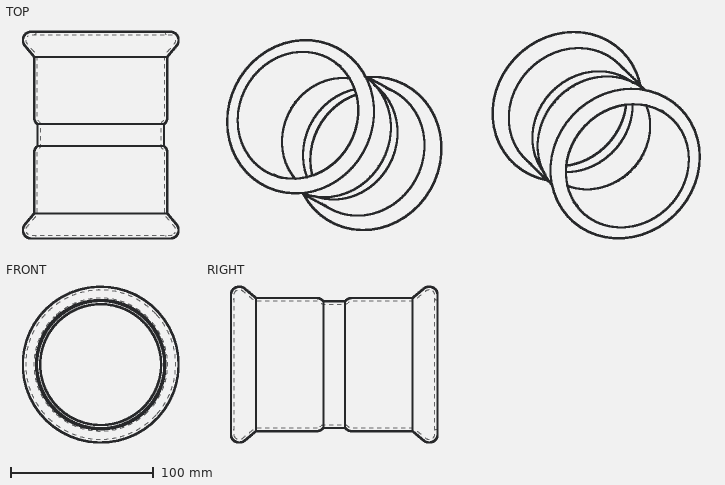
import cadquery as cq
import math

length = 145.0
wall = 2.2
rim_outer_radius = 54.68
bead_radius = 6.0
bead_taper = math.radians(40)
socket_outer_radius = 46.75
waist_outer_radius = 44.5
waist_half_length = 7.7
shoulder_half_length = 12.4
lip_radius = 45.4
lip_front_rounding = 0.3
lip_back_rounding = 1.0
socket_entry_radius = 1.7
stop_bend_end_radius = 43.2

half_length = length / 2
socket_bore_radius = socket_outer_radius - wall
waist_bore_radius = waist_outer_radius - wall
bead_centre_radius = rim_outer_radius - bead_radius
bead_centre_y = half_length - bead_radius
inner_bead_radius = bead_radius - wall
shoulder_drop = socket_outer_radius - waist_outer_radius
shoulder_run = shoulder_half_length - waist_half_length
shoulder_radius = (shoulder_run**2 + shoulder_drop**2) / (2 * shoulder_drop)
shoulder_sweep = math.asin(shoulder_run / shoulder_radius)
inner_shoulder_radius = shoulder_radius - wall


def arc_point(centre, radius, angle):
    """Point (radius from the axis, y) on an arc; angles run from outward toward the +Y mouth."""
    return centre[0] + radius * math.cos(angle), centre[1] + radius * math.sin(angle)


def cone_foot(cone_start, foot_radius):
    """Point where a bead cone comes down to the given radius."""
    start_radius, start_y = cone_start
    return foot_radius, start_y - (start_radius - foot_radius) / math.tan(bead_taper)


bead_centre = (bead_centre_radius, bead_centre_y)
bead_face_angle = math.pi / 2
bead_middle_angle = (bead_face_angle - bead_taper) / 2
shoulder_centre = (socket_outer_radius - shoulder_radius, shoulder_half_length)


def outer_profile():
    """Outer half outline from the end of the waist to the mouth edge."""
    cone_start = arc_point(bead_centre, bead_radius, -bead_taper)
    return (
        cq.Workplane("XY")
        .moveTo(waist_outer_radius, waist_half_length)
        .threePointArc(
            arc_point(shoulder_centre, shoulder_radius, -shoulder_sweep / 2),
            (socket_outer_radius, shoulder_half_length),
        )
        .lineTo(*cone_foot(cone_start, socket_outer_radius))
        .lineTo(*cone_start)
        .threePointArc(
            arc_point(bead_centre, bead_radius, bead_middle_angle),
            arc_point(bead_centre, bead_radius, bead_face_angle),
        )
        .lineTo(lip_radius + lip_front_rounding, half_length)
    )


def add_bead_groove(profile):
    """Mouth lip and seal groove inside the bead, from the mouth edge to the start of the socket bore."""
    lip_front_centre = (lip_radius + lip_front_rounding, half_length - lip_front_rounding)
    lip_back_centre = (lip_radius + lip_back_rounding, half_length - wall + lip_back_rounding)
    cone_start = arc_point(bead_centre, inner_bead_radius, -bead_taper)
    corner_y = cone_foot(cone_start, socket_bore_radius)[1]
    entry_centre = (
        socket_bore_radius + socket_entry_radius,
        corner_y - socket_entry_radius * math.tan(bead_taper / 2),
    )
    return (
        profile.threePointArc(
            arc_point(lip_front_centre, lip_front_rounding, math.pi * 3 / 4),
            arc_point(lip_front_centre, lip_front_rounding, math.pi),
        )
        .lineTo(*arc_point(lip_back_centre, lip_back_rounding, math.pi))
        .threePointArc(
            arc_point(lip_back_centre, lip_back_rounding, math.pi * 5 / 4),
            arc_point(lip_back_centre, lip_back_rounding, math.pi * 3 / 2),
        )
        .lineTo(*arc_point(bead_centre, inner_bead_radius, bead_face_angle))
        .threePointArc(
            arc_point(bead_centre, inner_bead_radius, bead_middle_angle),
            cone_start,
        )
        .lineTo(*arc_point(entry_centre, socket_entry_radius, math.pi - bead_taper))
        .threePointArc(
            arc_point(entry_centre, socket_entry_radius, math.pi - bead_taper / 2),
            arc_point(entry_centre, socket_entry_radius, math.pi),
        )
    )


def add_tube_stop(profile):
    """Socket bore, inner shoulder bend and rounded stop edge, down to the waist bore."""
    bend_sweep = math.acos(1 - (socket_bore_radius - stop_bend_end_radius) / inner_shoulder_radius)
    edge_radius = (stop_bend_end_radius - waist_bore_radius) / (1 - math.cos(bend_sweep))
    bend_end = arc_point(shoulder_centre, inner_shoulder_radius, -bend_sweep)
    edge_centre = arc_point(bend_end, edge_radius, -bend_sweep)
    return (
        profile.lineTo(socket_bore_radius, shoulder_half_length)
        .threePointArc(
            arc_point(shoulder_centre, inner_shoulder_radius, -bend_sweep / 2),
            bend_end,
        )
        .threePointArc(
            arc_point(edge_centre, edge_radius, math.pi - bend_sweep / 2),
            arc_point(edge_centre, edge_radius, math.pi),
        )
    )


upper_side = add_tube_stop(add_bead_groove(outer_profile())).wire().val()
lower_side = upper_side.mirror("XZ")
waist_outside = cq.Edge.makeLine(lower_side.startPoint(), upper_side.startPoint())
waist_bore = cq.Edge.makeLine(lower_side.endPoint(), upper_side.endPoint())
section = cq.Wire.combine([upper_side, lower_side, waist_outside, waist_bore])[0]

result = cq.Workplane("XY").add(section).toPending().revolve(360, (0, 0, 0), (0, 1, 0))